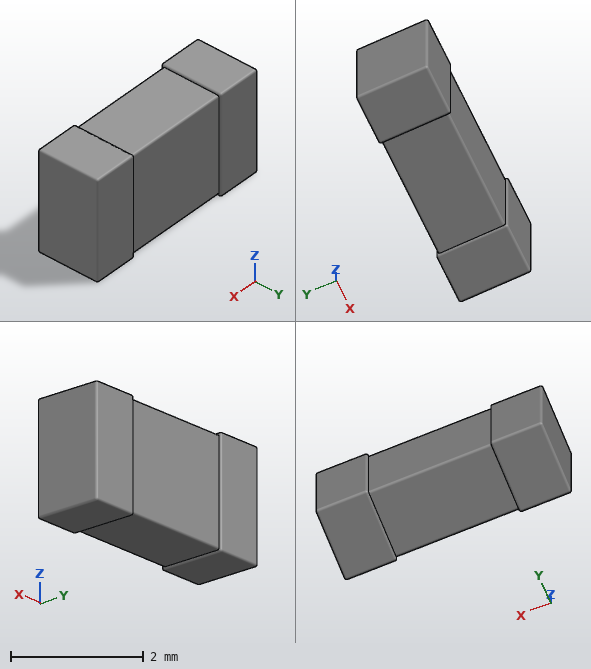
import cadquery as cq

length = 3.7
depth = 1.2
height = 1.95

cap_length = 0.85
cap_wall = 0.04
edge_radius = 0.04

body_length = length - 2 * cap_length
body_depth = depth - 2 * cap_wall
body_height = height - 2 * cap_wall


def make_body():
    """Plain block between the caps, rounded along its four long edges."""
    block = cq.Workplane("XY").box(body_length, body_depth, body_height)
    return block.edges("|X").fillet(edge_radius)


def make_end_cap(side):
    """Metal end cap, rounded on every edge; side is -1 for the -X end and 1 for the +X end."""
    center_x = side * (length - cap_length) / 2
    cap = cq.Workplane("XY").box(cap_length, depth, height)
    return cap.edges().fillet(edge_radius).translate((center_x, 0, 0))


body = make_body()
end_caps = [make_end_cap(side) for side in (-1, 1)]

result = cq.Compound.makeCompound([body.val(), *[cap.val() for cap in end_caps]])